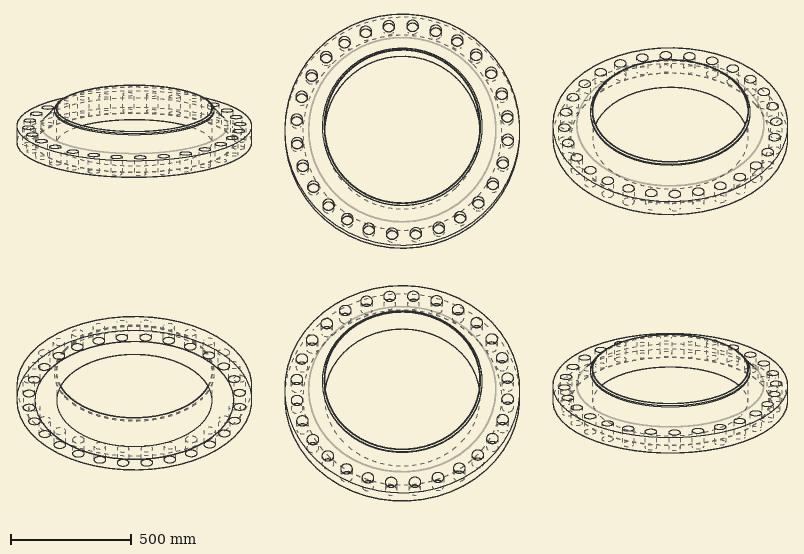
import cadquery as cq

outer_diameter = 971.0
overall_height = 150.0
flange_top = 74.0
raised_face_height = 2.0
raised_face_diameter = 821.0

bore_diameter = 641.0
hub_base_diameter = 773.0
weld_end_diameter = 660.0
hub_fillet_radius = 4.0
weld_bevel_height = 6.0
weld_bevel_width = 7.0
weld_neck_height = 6.0

bolt_count = 28
bolt_circle_diameter = 876.0
bolt_hole_diameter = 48.0


def flange_body():
    """Revolve the flange and hub profile around the Z axis."""
    bore_radius = bore_diameter / 2
    weld_end_radius = weld_end_diameter / 2
    bevel_start = overall_height - weld_bevel_height
    profile = [
        (bore_radius, 0),
        (raised_face_diameter / 2, 0),
        (raised_face_diameter / 2, raised_face_height),
        (outer_diameter / 2, raised_face_height),
        (outer_diameter / 2, flange_top),
        (hub_base_diameter / 2, flange_top),
        (weld_end_radius, bevel_start - weld_neck_height),
        (weld_end_radius, bevel_start),
        (weld_end_radius - weld_bevel_width, overall_height),
        (bore_radius, overall_height),
    ]
    return cq.Workplane("XZ").polyline(profile).close().revolve(360, (0, 0, 0), (0, 1, 0))


def round_hub_root(body):
    """Fillet the inner corner where the hub taper meets the bolting surface."""
    margin = hub_fillet_radius / 4
    probe = hub_base_diameter / 2 + margin
    root = cq.selectors.BoxSelector(
        (-probe, -probe, flange_top - margin),
        (probe, probe, flange_top + margin),
        boundingbox=True,
    )
    return body.edges(root).fillet(hub_fillet_radius)


def bolt_holes():
    """Through-hole cutters evenly spaced on the bolt circle, the first on +X."""
    return (
        cq.Workplane("XY")
        .polarArray(bolt_circle_diameter / 2, 0, 360, bolt_count)
        .circle(bolt_hole_diameter / 2)
        .extrude(overall_height)
    )


result = round_hub_root(flange_body()).cut(bolt_holes())